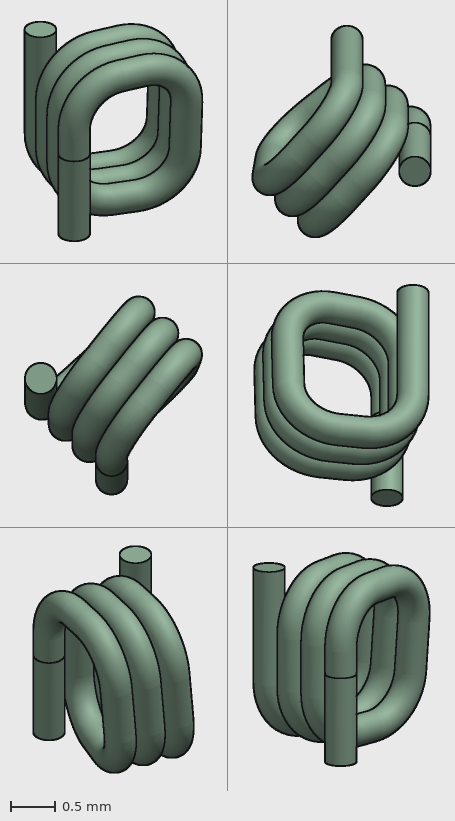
import cadquery as cq
import math

wire_diameter = 0.36
pitch = 0.363
turn_count = 3
coil_depth = 1.78
coil_height = 2.11
bend_radius = 0.565
lead_setback = 0.015

wire_radius = wire_diameter / 2
half_depth = coil_depth / 2 - wire_radius
half_height = coil_height / 2 - wire_radius
lead_end_z = coil_height / 2 - lead_setback
first_x = -turn_count * pitch / 2
last_x = first_x + turn_count * pitch
lead_joint_z = 0.0

sloped_length = 4 * half_depth + 2 * half_height
advance_across = pitch * 2 * half_depth / sloped_length


def turn_corners(start_x):
    """Sharp centreline corners of one turn, starting at the bottom front."""
    return [
        cq.Vector(start_x, -half_depth, -half_height),
        cq.Vector(start_x + advance_across, half_depth, -half_height),
        cq.Vector(start_x + pitch - advance_across, half_depth, half_height),
        cq.Vector(start_x + pitch, -half_depth, half_height),
    ]


def rounded_path(points):
    """Join the points by straight lines, with a tangent arc at every inner point."""
    edges = []
    leg_start = points[0]
    for before, corner, after in zip(points, points[1:], points[2:]):
        back = (before - corner).normalized()
        ahead = (after - corner).normalized()
        half_angle = back.getAngle(ahead) / 2
        setback = bend_radius / math.tan(half_angle)
        arc_start = corner + back * setback
        arc_end = corner + ahead * setback
        bisector = (back + ahead).normalized()
        arc_middle = corner + bisector * (bend_radius / math.sin(half_angle) - bend_radius)
        edges.append(cq.Edge.makeLine(leg_start, arc_start))
        edges.append(cq.Edge.makeThreePointArc(arc_start, arc_middle, arc_end))
        leg_start = arc_end
    edges.append(cq.Edge.makeLine(leg_start, points[-1]))
    return cq.Wire.assembleEdges(edges)


def make_winding():
    """Start lead and all turns, swept as one continuous round wire."""
    points = [cq.Vector(first_x, -half_depth, lead_end_z)]
    for turn in range(turn_count):
        points += turn_corners(first_x + turn * pitch)
    points.append(cq.Vector(last_x, -half_depth, lead_joint_z))
    return (
        cq.Workplane("XY", origin=points[0].toTuple())
        .circle(wire_radius)
        .sweep(cq.Workplane(rounded_path(points)))
    )


def make_finish_lead():
    """Straight lead running down from the end of the winding."""
    return (
        cq.Workplane("XY", origin=(last_x, -half_depth, -lead_end_z))
        .circle(wire_radius)
        .extrude(lead_end_z + lead_joint_z)
    )


winding = make_winding()
finish_lead = make_finish_lead()

result = cq.Compound.makeCompound([winding.val(), finish_lead.val()])